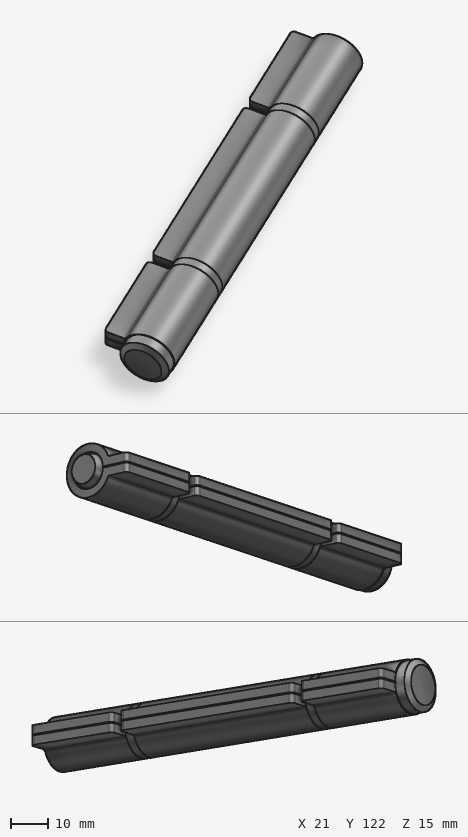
import cadquery as cq
import math

total_length = 122.0
end_knuckle_length = 27.0
ring_length = 2.6
tip_length = 2.0
head_length = 4.0

barrel_diameter = 15.0
bore_diameter = 10.2
pin_diameter = 9.8
pin_tip_diameter = 8.2
taper_length = 3.0
head_diameter = 14.5
head_chamfer_length = 1.0
head_chamfer_angle = 30.0

overall_width = 21.0
leaf_thickness = 5.5
slit_width = 0.4
leaf_corner_radius = 1.1
neck_radius = 0.79

barrel_radius = barrel_diameter / 2
leaf_reach = overall_width - barrel_radius
half_leaf = leaf_thickness / 2
middle_knuckle_length = (
    total_length - head_length - tip_length - 2 * end_knuckle_length - 2 * ring_length
)

front_knuckle_start = head_length
front_ring_start = front_knuckle_start + end_knuckle_length
middle_knuckle_start = front_ring_start + ring_length
rear_ring_start = middle_knuckle_start + middle_knuckle_length
rear_knuckle_start = rear_ring_start + ring_length


def section_at(start):
    """Workplane across the hinge axis at the given Y; extrude by a negative depth for +Y."""
    return cq.Workplane("XZ").workplane(offset=-start)


def make_knuckle(start, length):
    """Rolled sheet: a bored barrel whose two leaf layers are parted by a slit."""
    fillet_center_z = half_leaf + neck_radius
    fillet_center_distance = barrel_radius + neck_radius
    neck_x = -math.sqrt(fillet_center_distance**2 - fillet_center_z**2)
    shrink = barrel_radius / fillet_center_distance
    barrel_touch = (neck_x * shrink, fillet_center_z * shrink)
    outline = (
        section_at(start)
        .moveTo(-leaf_reach, half_leaf)
        .lineTo(neck_x, half_leaf)
        .radiusArc(barrel_touch, -neck_radius)
        .threePointArc((barrel_radius, 0), (barrel_touch[0], -barrel_touch[1]))
        .radiusArc((neck_x, -half_leaf), -neck_radius)
        .lineTo(-leaf_reach, -half_leaf)
        .close()
    )
    body = outline.extrude(-length).edges("|Z and <X").fillet(leaf_corner_radius)
    bore = section_at(start).circle(bore_diameter / 2).extrude(-length)
    slit = (
        section_at(start)
        .center(-leaf_reach / 2, 0)
        .rect(leaf_reach, slit_width)
        .extrude(-length)
    )
    return body.cut(bore).cut(slit)


def make_ring(start):
    """Spacer ring between two knuckles."""
    return (
        section_at(start)
        .circle(barrel_radius)
        .circle(bore_diameter / 2)
        .extrude(-ring_length)
    )


def make_pin():
    """Headed pin through all knuckles, with a chamfered head and a tapered tip."""
    head_radius = head_diameter / 2
    chamfer_depth = head_chamfer_length / math.tan(math.radians(head_chamfer_angle))
    half_profile = [
        (0, 0),
        (head_radius - chamfer_depth, 0),
        (head_radius, head_chamfer_length),
        (head_radius, head_length),
        (pin_diameter / 2, head_length),
        (pin_diameter / 2, total_length - taper_length),
        (pin_tip_diameter / 2, total_length),
        (0, total_length),
    ]
    return cq.Workplane("XY").polyline(half_profile).close().revolve(360, (0, 0), (0, 1))


knuckle_spans = [
    (front_knuckle_start, end_knuckle_length),
    (middle_knuckle_start, middle_knuckle_length),
    (rear_knuckle_start, end_knuckle_length),
]
knuckles = [make_knuckle(start, length) for start, length in knuckle_spans]
rings = [make_ring(start) for start in (front_ring_start, rear_ring_start)]
pin = make_pin()

result = cq.Compound.makeCompound([body.val() for body in [*knuckles, *rings, pin]])